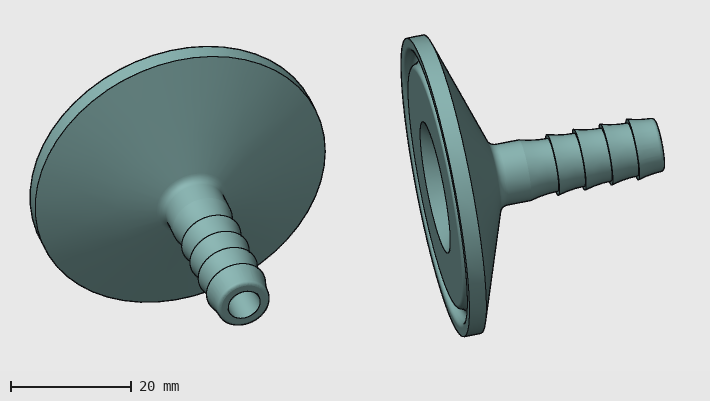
import cadquery as cq
import math

length = 38.1
flange_radius = 25.2
rim_thickness = 2.85

back_angle = math.radians(70)
stem_radius = 5.15
blend_radius = 1.6

barb_count = 5
barb_pitch = 4.55
first_barb_start = 15.2
barb_root_radius = 4.5
tip_fillet = 0.6

groove_outer_radius = 23.75
groove_inner_radius = 19.85
groove_center_radius = (groove_outer_radius + groove_inner_radius) / 2
groove_half_width = (groove_outer_radius - groove_inner_radius) / 2
groove_depth = 1.6
groove_bottom_radius = 1.1
groove_lip_fillet = 0.8

bore_radius = 2.75
funnel_radius = 11.1
funnel_depth = funnel_radius - bore_radius


def flange_and_stem():
    """Disc with a conical back that runs smoothly into a plain stem."""
    cone_length = (flange_radius - stem_radius) / math.tan(back_angle)
    cone_end = rim_thickness + cone_length
    tangent_length = blend_radius * math.tan(back_angle / 2)
    stem_start = cone_end + tangent_length
    blend_start = (
        cone_end - tangent_length * math.cos(back_angle),
        stem_radius + tangent_length * math.sin(back_angle),
    )
    blend_middle = (
        stem_start - blend_radius * math.sin(back_angle / 2),
        stem_radius + blend_radius * (1 - math.cos(back_angle / 2)),
    )
    return (
        cq.Workplane("XY")
        .lineTo(0, flange_radius)
        .lineTo(rim_thickness, flange_radius)
        .lineTo(*blend_start)
        .threePointArc(blend_middle, (stem_start, stem_radius))
        .lineTo(first_barb_start, stem_radius)
        .lineTo(first_barb_start, 0)
        .close()
        .revolve(360, (0, 0, 0), (1, 0, 0))
    )


def barb(start, end):
    """One barb: a sharp crest, then a hollow flank that levels out at the root."""
    flank_length = end - start
    drop = stem_radius - barb_root_radius
    flank_radius = (flank_length**2 + drop**2) / (2 * drop)
    half_length = flank_length / 2
    middle_rise = flank_radius - math.sqrt(flank_radius**2 - half_length**2)
    middle = (start + half_length, barb_root_radius + middle_rise)
    return (
        cq.Workplane("XY")
        .moveTo(start, 0)
        .lineTo(start, stem_radius)
        .threePointArc(middle, (end, barb_root_radius))
        .lineTo(end, 0)
        .close()
        .revolve(360, (start, 0, 0), (end, 0, 0))
    )


def gasket_groove():
    """Ring cutter for the groove, with lips that flare tangent to the sealing face."""
    radius_sum = groove_bottom_radius + groove_lip_fillet
    rise = groove_depth - radius_sum
    span = math.hypot(rise, groove_half_width)
    wall_angle = math.atan2(rise, groove_half_width) + math.asin(radius_sum / span)
    bottom_center = groove_depth - groove_bottom_radius

    def wall_points(side):
        lip_center = groove_center_radius + side * groove_half_width
        half_angle = wall_angle / 2
        return {
            "lip": (0, lip_center),
            "lip_middle": (
                groove_lip_fillet * (1 - math.cos(half_angle)),
                lip_center - side * groove_lip_fillet * math.sin(half_angle),
            ),
            "wall_top": (
                groove_lip_fillet * (1 - math.cos(wall_angle)),
                lip_center - side * groove_lip_fillet * math.sin(wall_angle),
            ),
            "wall_bottom": (
                bottom_center + groove_bottom_radius * math.cos(wall_angle),
                groove_center_radius + side * groove_bottom_radius * math.sin(wall_angle),
            ),
        }

    outer = wall_points(1)
    inner = wall_points(-1)
    return (
        cq.Workplane("XY")
        .moveTo(*outer["lip"])
        .threePointArc(outer["lip_middle"], outer["wall_top"])
        .lineTo(*outer["wall_bottom"])
        .threePointArc((groove_depth, groove_center_radius), inner["wall_bottom"])
        .lineTo(*inner["wall_top"])
        .threePointArc(inner["lip_middle"], inner["lip"])
        .close()
        .revolve(360, (0, 0, 0), (1, 0, 0))
    )


def passage():
    """Funnel from the sealing face into the straight bore."""
    return (
        cq.Workplane("XY")
        .lineTo(0, funnel_radius)
        .lineTo(funnel_depth, bore_radius)
        .lineTo(length, bore_radius)
        .lineTo(length, 0)
        .close()
        .revolve(360, (0, 0, 0), (1, 0, 0))
    )


body = flange_and_stem()
barb_start = first_barb_start
for barbs_left in reversed(range(barb_count)):
    barb_end = length - barbs_left * barb_pitch
    body = body.union(barb(barb_start, barb_end))
    barb_start = barb_end
body = body.faces(">X").edges().fillet(tip_fillet)

result = body.cut(gasket_groove()).cut(passage())